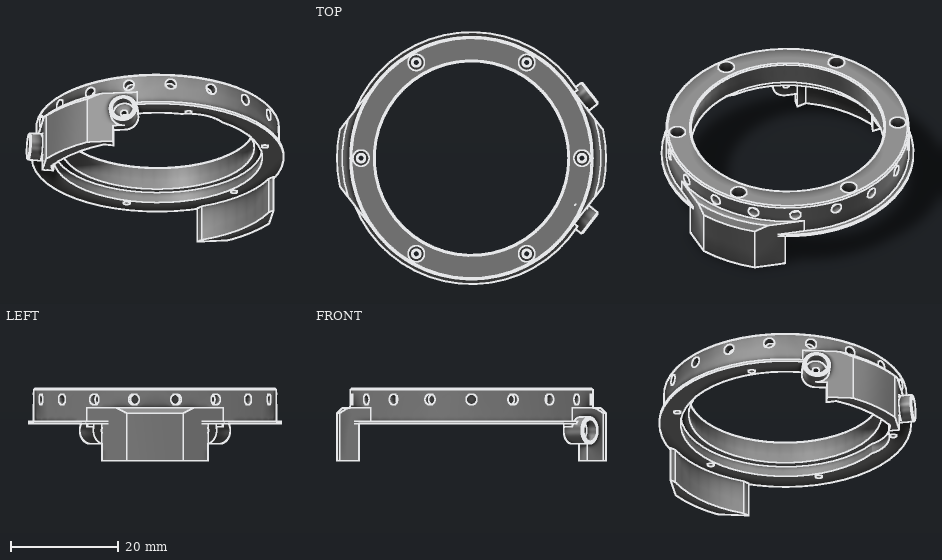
import cadquery as cq
import math

ring_top = 13.5
lug_top = 9.9
recess_top = 9.0
ring_bottom = 6.95
pad_bottom = 6.35
radial_hole_z = 11.45
boss_z = 5.7

ring_radius = 45.3 / 2
bore_radius = 36.0 / 2
recess_radius = 39.05 / 2
flange_radius = 47.0 / 2
flange_thickness = 0.45
rim_chamfer = 0.3
bore_chamfer = 0.25

relief_reach = 20.35
relief_radius = 7.45
relief_angle = 69.5

screw_count = 6
screw_circle_radius = 20.6
screw_hole_diameter = 1.25
screw_mouth_diameter = 1.65
screw_head_diameter = 3
screw_head_depth = 3
radial_hole_count = 18
radial_hole_diameter = 2
radial_hole_depth = 2

lug_radius = 25.1
lug_chamfer = 1
flat_angle = 38
flat_distance = 22.6
flat_outer_end = -math.sqrt(lug_radius**2 - flat_distance**2)
lug_end = -1.55
left_foot_x = 20.95
right_foot_end = -6.15
right_foot_x = 21.6

boss_inner = 20.6
boss_length = 4.35
boss_diameter = 5
boss_position = -4
boss_bore_diameter = 4
boss_bore_depth = 2.4
boss_hole_diameter = 1.25
boss_chamfer = 0.2


def disc(radius, bottom, top):
    return cq.Workplane("XY").workplane(offset=bottom).circle(radius).extrude(top - bottom)


def flat_point(out, along):
    """Point at a distance out from the ring axis, square to the +Y flat, and a distance along it."""
    angle = math.radians(flat_angle)
    x = out * math.cos(angle) - along * math.sin(angle)
    y = out * math.sin(angle) + along * math.cos(angle)
    return (x, y)


def circle_point(radius, x):
    return (x, math.sqrt(radius**2 - x**2))


def mirrored(point):
    return (point[0], -point[1])


def make_ring():
    wall = disc(ring_radius, ring_bottom, ring_top).faces(">Z").edges().chamfer(rim_chamfer)
    return wall.union(disc(flange_radius, ring_bottom, ring_bottom + flange_thickness))


def make_lug(end_points, bottom, height, inner_radius=None):
    """Block on the +X side; end_points run from the flat inwards and are mirrored in Y."""
    flat_outer = flat_point(flat_distance, flat_outer_end)
    outline = cq.Workplane("XY").workplane(offset=bottom).moveTo(*mirrored(flat_outer))
    outline = outline.threePointArc((lug_radius, 0), flat_outer)
    for point in end_points:
        outline = outline.lineTo(*point)
    last = mirrored(end_points[-1])
    if inner_radius:
        outline = outline.threePointArc((inner_radius, 0), last)
    else:
        outline = outline.lineTo(*last)
    for point in reversed(end_points[:-1]):
        outline = outline.lineTo(*mirrored(point))
    bevelled = disc(lug_radius, bottom, lug_top).faces(">Z").edges().chamfer(lug_chamfer)
    return outline.close().extrude(height).intersect(bevelled)


def make_upper_lug():
    return make_lug([flat_point(flat_distance, lug_end)], ring_bottom, lug_top - ring_bottom)


def make_left_foot():
    angle = math.radians(flat_angle)
    tip_y = (flat_distance - left_foot_x * math.cos(angle)) / math.sin(angle)
    ends = [(left_foot_x, tip_y), circle_point(ring_radius, left_foot_x)]
    return make_lug(ends, 0, lug_top, ring_radius).mirror("YZ")


def make_right_foot():
    ends = [
        flat_point(flat_distance, right_foot_end),
        flat_point(boss_inner, right_foot_end),
        circle_point(ring_radius, right_foot_x),
    ]
    return make_lug(ends, 0, lug_top, ring_radius)


def make_pad(start, end, bottom):
    """Backing of the +Y boss between two places along the flat, from a height up to the lug top."""
    corners = [
        flat_point(boss_inner, start),
        flat_point(flat_distance, start),
        flat_point(flat_distance, end),
        flat_point(boss_inner, end),
    ]
    return cq.Workplane("XY").workplane(offset=bottom).polyline(corners).close().extrude(lug_top - bottom)


def boss_cylinder(diameter, start, length):
    """Cylinder on the axis of the +Y boss, starting at a distance from its inner end."""
    base = cq.Vector(*flat_point(boss_inner + start, boss_position), boss_z)
    direction = cq.Vector(*flat_point(1, 0), 0)
    return cq.Workplane(cq.Solid.makeCylinder(diameter / 2, length, base, direction))


def make_boss():
    """Outside of the +Y boss, trimmed where it would overhang the inner face of the right foot."""
    outer_end = cq.selectors.DirectionMinMaxSelector(cq.Vector(*flat_point(1, 0), 0))
    boss = boss_cylinder(boss_diameter, 0, boss_length).faces(outer_end).edges().chamfer(boss_chamfer)
    return boss.cut(make_pad(boss_position - boss_diameter, right_foot_end, 0))


def make_boss_bore():
    bore = boss_cylinder(boss_bore_diameter, boss_length - boss_bore_depth, boss_bore_depth)
    return bore.union(boss_cylinder(boss_hole_diameter, 0, boss_length))


def make_ring_bore():
    bore = disc(bore_radius, ring_bottom, ring_top)
    recess = disc(recess_radius, ring_bottom, recess_top)
    mouth = (
        cq.Workplane("XY").workplane(offset=ring_top - bore_chamfer)
        .circle(bore_radius)
        .workplane(offset=bore_chamfer)
        .circle(bore_radius + bore_chamfer)
        .loft()
    )
    return bore.union(recess).union(mouth)


def make_relief():
    """Rounded hollow that widens the recess on one side."""
    relief = disc(relief_radius, ring_bottom, recess_top).translate((relief_reach - relief_radius, 0, 0))
    return relief.rotate((0, 0, 0), (0, 0, 1), relief_angle)


def make_screw_hole():
    """Counterbored hole on the X axis with a countersunk mouth in the counterbore floor."""
    floor_z = ring_top - screw_head_depth
    mouth_depth = (screw_mouth_diameter - screw_hole_diameter) / 2
    profile = [
        (0, ring_bottom),
        (screw_hole_diameter / 2, ring_bottom),
        (screw_hole_diameter / 2, floor_z - mouth_depth),
        (screw_mouth_diameter / 2, floor_z),
        (screw_head_diameter / 2, floor_z),
        (screw_head_diameter / 2, ring_top),
        (0, ring_top),
    ]
    hole = cq.Workplane("XZ").polyline(profile).close().revolve(360, (0, 0), (0, 1))
    return hole.translate((screw_circle_radius, 0, 0))


def make_radial_hole():
    floor_radius = ring_radius - radial_hole_depth
    drill = cq.Workplane("XZ", origin=(0, -floor_radius, radial_hole_z))
    return drill.circle(radial_hole_diameter / 2).extrude(2 * radial_hole_depth)


def cut_around(body, tool, count):
    """Cut equally spaced copies of the tool around the ring axis."""
    for index in range(count):
        body = body.cut(tool.rotate((0, 0, 0), (0, 0, 1), index * 360 / count))
    return body


upper_lug = make_upper_lug()
body = make_ring()
for part in (upper_lug, upper_lug.mirror("YZ"), make_left_foot(), make_right_foot()):
    body = body.union(part)

boss_backing = make_pad(right_foot_end, lug_end, pad_bottom)
boss_web = make_pad(right_foot_end, boss_position, boss_z - boss_diameter / 2)
for part in (boss_backing, boss_web, make_boss()):
    body = body.union(part).union(part.mirror("XZ"))

boss_bore = make_boss_bore()
for tool in (make_ring_bore(), make_relief(), boss_bore, boss_bore.mirror("XZ")):
    body = body.cut(tool)

body = cut_around(body, make_screw_hole(), screw_count)
body = cut_around(body, make_radial_hole(), radial_hole_count)
result = body